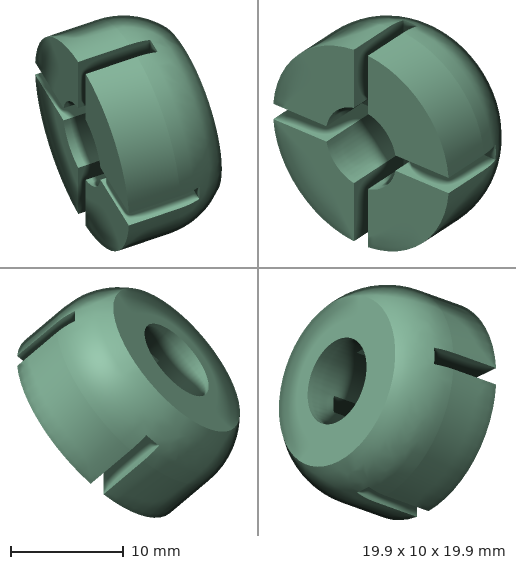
import cadquery as cq

outer_diameter = 20.0
length = 10.0
bore_diameter = 8.0
slot_width = 1.6
slot_depth = 7.0
shoulder_radius = 7.0

outer_radius = outer_diameter / 2
straight_length = length / 2
shoulder_length = length - straight_length


def shoulder_reach(distance):
    """Body radius at a distance behind the cylindrical portion."""
    arc_center = outer_radius - shoulder_radius
    return arc_center + (shoulder_radius**2 - distance**2) ** 0.5


def make_body():
    """Revolve the half profile, with its flat front at Y = 0, about the Y axis."""
    return (
        cq.Workplane("XY")
        .lineTo(outer_radius, 0)
        .lineTo(outer_radius, straight_length)
        .threePointArc(
            (shoulder_reach(shoulder_length / 2), straight_length + shoulder_length / 2),
            (shoulder_reach(shoulder_length), length),
        )
        .lineTo(0, length)
        .close()
        .revolve(360, (0, 0), (0, 1))
    )


def make_bore():
    """Central through hole along Y."""
    return cq.Workplane("XZ").circle(bore_diameter / 2).extrude(-length)


def make_slot(size_x, size_z):
    """Slot cut into the flat front face, open at both ends."""
    return cq.Workplane("XY").box(size_x, slot_depth, size_z, centered=(True, False, True))


result = make_body().cut(make_bore())

for size_x, size_z in [(outer_diameter, slot_width), (slot_width, outer_diameter)]:
    result = result.cut(make_slot(size_x, size_z))